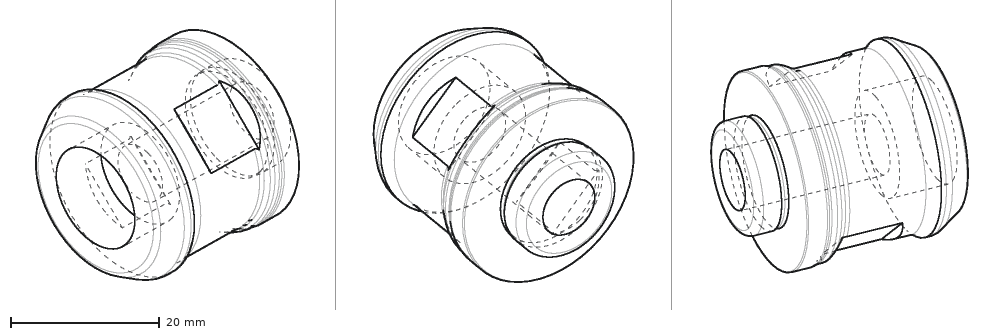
import cadquery as cq
import math


flange_radius = 14.0
collar_radius = 13.8
waist_radius = 13.0
spigot_radius = 16.0 / 2
bore_radius = 8.5 / 2
counterbore_radius = 15.0 / 2

nose_collar_start = 4.38
nose_collar_end = 5.07
waist_start = 7.03
collar_start = 20.4
collar_end = 21.25
flange_start = 22.0
flange_end = 24.97
total_length = 29.8
counterbore_depth = 8.5

cone_angle = math.radians(30)
nose_edge_round = 1.0
nose_collar_round = 2.03
collar_round = 1.4
flange_edge_round = 0.18
spigot_edge_round = 1.0
groove_width = 1.1
groove_depth = 0.224
groove_round_width = 0.57
groove_foot_depth = 0.12
groove_cone_depth = 0.2

across_flats = 24.0
flat_start = 10.05
flat_end = 18.92
flat_tilt = 45.0
flat_end_wall_angle = math.radians(33)
cutter_depth = 2.98


def round_points(center, radius, start, end):
    """Middle and end of an arc; angles run from the radial direction towards +Y."""
    return [
        (center[0] + radius * math.cos(a), center[1] + radius * math.sin(a))
        for a in ((start + end) / 2, end)
    ]


def turned_body():
    collar_center = (collar_radius - nose_collar_round, nose_collar_start)
    cone_top = round_points(collar_center, nose_collar_round, 0, -cone_angle)[1]
    edge_tangent_y = nose_edge_round * (1 - math.sin(cone_angle))
    edge_tangent_r = cone_top[0] - (cone_top[1] - edge_tangent_y) * math.tan(cone_angle)
    edge_center = (edge_tangent_r - nose_edge_round * math.cos(cone_angle), nose_edge_round)
    edge_arc = round_points(edge_center, nose_edge_round, -math.pi / 2, -cone_angle)
    collar_arc = round_points(collar_center, nose_collar_round, -cone_angle, 0)

    flare_width = waist_start - nose_collar_end
    flare_height = collar_radius - waist_radius
    flare_round = (flare_width**2 + flare_height**2) / (2 * flare_height)
    flare_angle = math.asin(flare_width / flare_round)
    flare_center = (waist_radius + flare_round, waist_start)
    flare_arc = round_points(flare_center, flare_round, math.pi + flare_angle, math.pi)

    upper_center = (collar_radius - collar_round, collar_start)
    shoulder_top = round_points(upper_center, collar_round, 0, -cone_angle)[1]
    lower_r = waist_radius + collar_round * (1 - math.cos(cone_angle))
    lower_y = shoulder_top[1] - (shoulder_top[0] - lower_r) / math.tan(cone_angle)
    waist_end = lower_y - collar_round * math.sin(cone_angle)
    lower_center = (waist_radius + collar_round, waist_end)
    lower_arc = round_points(lower_center, collar_round, math.pi, math.pi - cone_angle)
    upper_arc = round_points(upper_center, collar_round, -cone_angle, 0)

    step_width = flange_start - collar_end
    step_height = flange_radius - collar_radius
    step_middle = ((collar_radius + flange_radius) / 2, (collar_end + flange_start) / 2)

    groove_foot = (spigot_radius - groove_foot_depth, flange_end)
    groove_bottom = (spigot_radius - groove_depth, flange_end + groove_round_width / 2)
    groove_cone_start = (spigot_radius - groove_cone_depth, flange_end + groove_round_width)
    groove_end = flange_end + groove_width

    flange_edge_center = (flange_radius - flange_edge_round, flange_end - flange_edge_round)
    spigot_edge_center = (spigot_radius - spigot_edge_round, total_length - spigot_edge_round)

    profile = (
        cq.Workplane("XY")
        .lineTo(edge_center[0], 0)
        .threePointArc(*edge_arc)
        .lineTo(*cone_top)
        .threePointArc(*collar_arc)
        .lineTo(collar_radius, nose_collar_end)
        .threePointArc(*flare_arc)
        .lineTo(waist_radius, waist_end)
        .threePointArc(*lower_arc)
        .lineTo(*shoulder_top)
        .threePointArc(*upper_arc)
        .lineTo(collar_radius, collar_end)
        .tangentArcPoint(step_middle, relative=False)
        .tangentArcPoint((step_height / 2, step_width / 2))
        .lineTo(flange_radius, flange_edge_center[1])
        .threePointArc(*round_points(flange_edge_center, flange_edge_round, 0, math.pi / 2))
        .lineTo(*groove_foot)
        .threePointArc(groove_bottom, groove_cone_start)
        .lineTo(spigot_radius, groove_end)
        .lineTo(spigot_radius, spigot_edge_center[1])
        .threePointArc(*round_points(spigot_edge_center, spigot_edge_round, 0, math.pi / 2))
        .lineTo(0, total_length)
        .close()
    )
    return profile.revolve(360, (0, 0, 0), (0, 1, 0))


def stepped_bore():
    axis_plane = cq.Workplane("XZ")
    bore = axis_plane.circle(bore_radius).extrude(-total_length)
    counterbore = axis_plane.circle(counterbore_radius).extrude(-counterbore_depth)
    return bore.union(counterbore)


def flat_cutter(angle):
    """Trapezoidal cutter with sloping end walls, turned by angle about the Y axis."""
    inner = across_flats / 2
    outer = inner + cutter_depth
    spread = cutter_depth * math.tan(flat_end_wall_angle)
    return (
        cq.Workplane("XY")
        .polyline([
            (inner, flat_start),
            (outer, flat_start - spread),
            (outer, flat_end + spread),
            (inner, flat_end),
        ])
        .close()
        .extrude(flange_radius, both=True)
        .rotate((0, 0, 0), (0, 1, 0), angle)
    )


result = turned_body().cut(stepped_bore())
for side in (0, 180):
    result = result.cut(flat_cutter(side - flat_tilt))